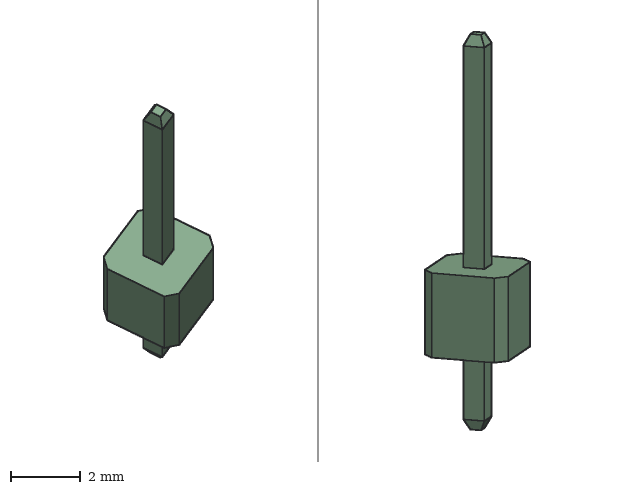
import cadquery as cq

total_length = 11.68
housing_width = 2.53
housing_height = 2.5
housing_chamfer = 0.32
pin_width = 0.64
pin_below = 2.31
tip_length = 0.33
tip_width = pin_width / 2

pin_bottom = -pin_below
pin_top = total_length - pin_below


def make_housing():
    """Square block with its four vertical edges chamfered."""
    block = cq.Workplane("XY").rect(housing_width, housing_width).extrude(housing_height)
    return block.edges("|Z").chamfer(housing_chamfer)


def make_shaft():
    """Straight square length of the pin between its two tips."""
    shaft_length = total_length - 2 * tip_length
    shaft = cq.Workplane("XY").workplane(offset=pin_bottom + tip_length)
    return shaft.rect(pin_width, pin_width).extrude(shaft_length)


def make_tip(end_z, outward):
    """Tapered tip ending at end_z; outward is +1 for up and -1 for down."""
    return (
        cq.Workplane("XY")
        .workplane(offset=end_z - outward * tip_length)
        .rect(pin_width, pin_width)
        .workplane(offset=outward * tip_length)
        .rect(tip_width, tip_width)
        .loft(ruled=True)
    )


result = make_housing().union(make_shaft())
for end_z, outward in ((pin_bottom, -1), (pin_top, 1)):
    result = result.union(make_tip(end_z, outward))